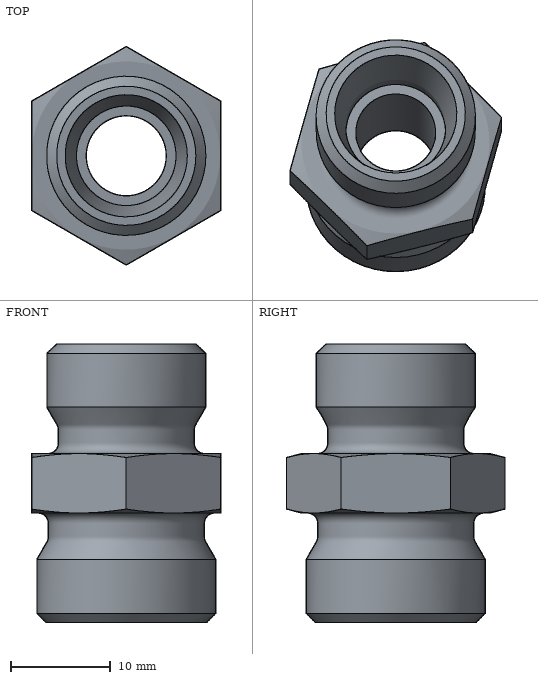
import cadquery as cq
import math

length = 28.0
bore_diameter = 8.0

hex_across_flats = 19.0
hex_height = 6.0
hex_face_diameter = 18.9
hex_chamfer_angle = 15.0

land_end = 6.35
relief_cone_angle = 30.0
relief_radius = 1.0
end_chamfer_height = 0.95
socket_depth = 7.0
socket_cone_angle = 12.0

upper_thread_diameter = 16.0
upper_rim_diameter = 13.97
upper_relief_diameter = 13.7
upper_tube_diameter = 10.0
upper_mouth_diameter = 12.25

lower_thread_diameter = 18.0
lower_rim_diameter = 16.1
lower_relief_diameter = 15.7
lower_tube_diameter = 12.0
lower_mouth_diameter = 14.28


def revolve_profile(profile):
    """Turn a closed (radius, height) outline about the Z axis."""
    return profile.close().revolve(360, (0, 0, 0), (0, 1, 0))


def cone_length(large_diameter, small_diameter, half_angle):
    return (large_diameter - small_diameter) / 2 / math.tan(math.radians(half_angle))


def make_end(thread_diameter, rim_diameter, relief_diameter):
    """Threaded end with its end face at Z = 0, reaching up to the middle of the body."""
    thread_radius = thread_diameter / 2
    groove_radius = relief_diameter / 2
    collar_face = (length - hex_height) / 2
    groove_start = land_end + cone_length(thread_diameter, relief_diameter, relief_cone_angle)

    cone_angle = math.radians(relief_cone_angle)
    tangent = relief_radius * math.tan(cone_angle / 2)
    arc_centre = (groove_radius + relief_radius, groove_start + tangent)
    cone_tangent = (
        groove_radius + tangent * math.sin(cone_angle),
        groove_start - tangent * math.cos(cone_angle),
    )
    arc_middle = (
        arc_centre[0] - relief_radius * math.cos(cone_angle / 2),
        arc_centre[1] - relief_radius * math.sin(cone_angle / 2),
    )
    fillet_offset = relief_radius * (1 - math.sqrt(0.5))

    return revolve_profile(
        cq.Workplane("XZ")
        .lineTo(rim_diameter / 2, 0)
        .lineTo(thread_radius, end_chamfer_height)
        .lineTo(thread_radius, land_end)
        .lineTo(*cone_tangent)
        .threePointArc(arc_middle, (groove_radius, arc_centre[1]))
        .lineTo(groove_radius, collar_face - relief_radius)
        .threePointArc(
            (groove_radius + fillet_offset, collar_face - fillet_offset),
            (groove_radius + relief_radius, collar_face),
        )
        .lineTo(groove_radius + relief_radius, length / 2)
        .lineTo(0, length / 2)
    )


def make_socket(tube_diameter, mouth_diameter):
    """Tube socket opening at Z = 0: a tapered mouth leading to a straight seat."""
    return revolve_profile(
        cq.Workplane("XZ")
        .lineTo(mouth_diameter / 2, 0)
        .lineTo(tube_diameter / 2, cone_length(mouth_diameter, tube_diameter, socket_cone_angle))
        .lineTo(tube_diameter / 2, socket_depth)
        .lineTo(0, socket_depth)
    )


def move_to_upper_end(shape):
    return shape.mirror("XY").translate((0, 0, length))


def make_collar():
    """Hexagon with corners on the Y axis, both faces chamfered by a shallow cone."""
    corner_diameter = hex_across_flats / math.cos(math.radians(30))
    bottom = (length - hex_height) / 2
    top = bottom + hex_height
    face_radius = hex_face_diameter / 2
    corner_radius = corner_diameter / 2
    drop = (corner_radius - face_radius) * math.tan(math.radians(hex_chamfer_angle))

    hexagon = (
        cq.Workplane("XY")
        .workplane(offset=bottom)
        .polygon(6, corner_diameter)
        .extrude(hex_height)
        .rotate((0, 0, 0), (0, 0, 1), 90)
    )
    envelope = revolve_profile(
        cq.Workplane("XZ")
        .moveTo(0, bottom)
        .lineTo(face_radius, bottom)
        .lineTo(corner_radius, bottom + drop)
        .lineTo(corner_radius, top - drop)
        .lineTo(face_radius, top)
        .lineTo(0, top)
    )
    return hexagon.intersect(envelope)


lower_end = make_end(lower_thread_diameter, lower_rim_diameter, lower_relief_diameter)
upper_end = make_end(upper_thread_diameter, upper_rim_diameter, upper_relief_diameter)
lower_socket = make_socket(lower_tube_diameter, lower_mouth_diameter)
upper_socket = make_socket(upper_tube_diameter, upper_mouth_diameter)
bore = cq.Workplane("XY").circle(bore_diameter / 2).extrude(length)

body = make_collar().union(lower_end).union(move_to_upper_end(upper_end))
result = body.cut(bore).cut(lower_socket).cut(move_to_upper_end(upper_socket))